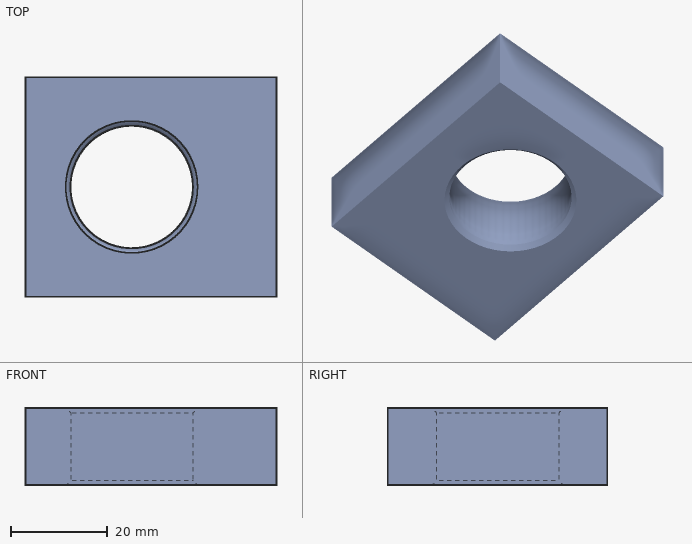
import cadquery as cq

length = 52.0
width = 45.5
height = 16.0

bore_diameter = 25.3
bore_from_left_face = 22.0
chamfer_size = 1.0


def make_block():
    """Rectangular block with its base centred on the origin."""
    return cq.Workplane("XY").box(length, width, height, centered=(True, True, False))


def make_bore_cutter():
    """Bore cylinder flared by a 45 degree chamfer at both rims."""
    bore_radius = bore_diameter / 2
    rim_radius = bore_radius + chamfer_size
    bore_x = bore_from_left_face - length / 2
    half_profile = (
        cq.Workplane("XZ")
        .moveTo(0, 0)
        .lineTo(rim_radius, 0)
        .lineTo(bore_radius, chamfer_size)
        .lineTo(bore_radius, height - chamfer_size)
        .lineTo(rim_radius, height)
        .lineTo(0, height)
        .close()
    )
    return half_profile.revolve(360, (0, 0, 0), (0, 1, 0)).translate((bore_x, 0, 0))


result = make_block().cut(make_bore_cutter())